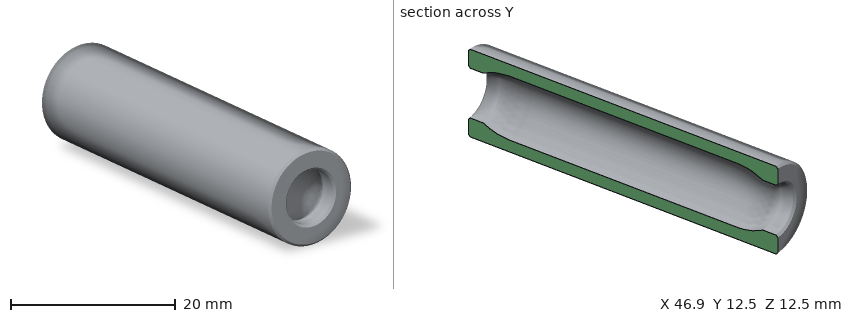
import cadquery as cq
import math

length = 46.88
outer_diameter = 12.5
land_diameter = 7.0
relief_diameter = 9.0
edge_chamfer = 0.3
land_length = 2.0
flare_arc_radius = 8.0

half_length = length / 2
outer_radius = outer_diameter / 2
land_radius = land_diameter / 2
relief_radius = relief_diameter / 2

flare_angle = math.acos(1 - (relief_radius - land_radius) / flare_arc_radius)
flare_start_x = -half_length + edge_chamfer + land_length
flare_end_x = flare_start_x + flare_arc_radius * math.sin(flare_angle)
flare_center_radius = relief_radius - flare_arc_radius
flare_mid_x = flare_end_x - flare_arc_radius * math.sin(flare_angle / 2)
flare_mid_radius = flare_center_radius + flare_arc_radius * math.cos(flare_angle / 2)


def body():
    """Solid cylinder along X with chamfered ends."""
    cylinder = cq.Workplane("YZ", origin=(-half_length, 0, 0)).circle(outer_radius).extrude(length)
    return cylinder.faces("<X or >X").chamfer(edge_chamfer)


def bore():
    """Through bore: chamfered lands at both ends, flared out to a wider relief between them."""
    half_section = (
        cq.Workplane("XY")
        .moveTo(-half_length, 0)
        .lineTo(-half_length, land_radius + edge_chamfer)
        .lineTo(-half_length + edge_chamfer, land_radius)
        .lineTo(flare_start_x, land_radius)
        .threePointArc((flare_mid_x, flare_mid_radius), (flare_end_x, relief_radius))
        .lineTo(-flare_end_x, relief_radius)
        .threePointArc((-flare_mid_x, flare_mid_radius), (-flare_start_x, land_radius))
        .lineTo(half_length - edge_chamfer, land_radius)
        .lineTo(half_length, land_radius + edge_chamfer)
        .lineTo(half_length, 0)
        .close()
    )
    return half_section.revolve(360, (0, 0, 0), (1, 0, 0))


result = body().cut(bore())